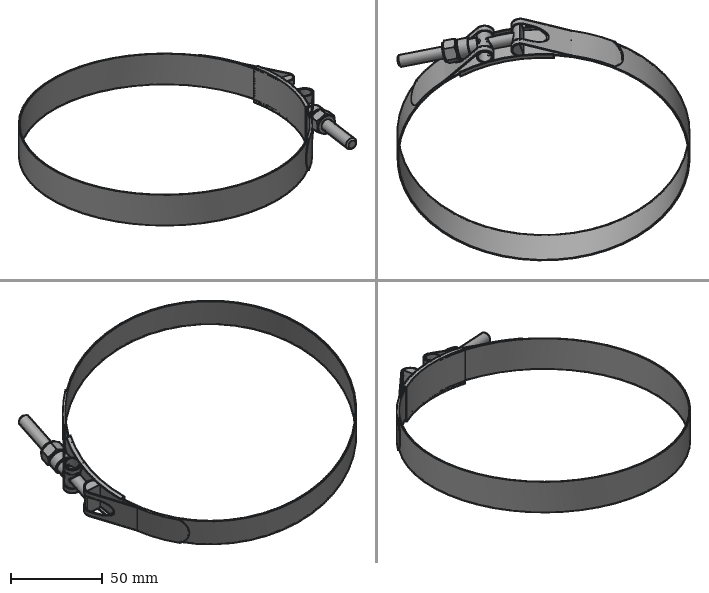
import cadquery as cq
import math

overall_y = 168.7

band_radius = 79.6
strap_thickness = 0.7
strap_width = 19.0
band_inner_radius = band_radius - strap_thickness
tail_radius = band_radius + strap_thickness
tail_tip_y = 53.5
tail_shoulder_y = 57.4
run_slope = 34.5
window_width = 11.8
head_window_bottom = 79.3
nut_window_bottom = 76.3

pin_radius = 4.4
pin_x = 10.1
pin_distance = band_radius + pin_radius
pin_y = math.sqrt(pin_distance**2 - pin_x**2)
loop_radius = pin_radius + strap_thickness
barrel_wall = 0.7

bridge_half_length = 26.5
bridge_width = 22.0
bridge_wall = 0.7
bridge_inner_radius = band_inner_radius - bridge_wall
flange_radius = 80.8

head_flat_x = -10.8
bolt_radius = 3.4
bolt_end_x = 58.9
bolt_chamfer = 1.0

neck_radius = 4.5
neck_start_x = 13.5
collar_radius = 5.5
collar_start_x = 18.2
collar_chamfer = 0.3
nut_start_x = 24.5
nut_end_x = 32.9
nut_flats = 2 * (overall_y - band_radius - pin_y)
nut_face_radius = 5.4
nut_face_length = 0.7
nut_corner_radius = nut_flats / math.sqrt(3)
nut_chamfer_height = 0.7

reach = 2 * band_radius


def on_circle(radius, angle, center=(0.0, 0.0)):
    """Point at an angle in degrees, counter-clockwise from +X."""
    turn = math.radians(angle)
    return (center[0] + radius * math.cos(turn), center[1] + radius * math.sin(turn))


def z_prism(outline, height):
    """Solid from an XY outline, centred on Z = 0."""
    return outline.extrude(height / 2, both=True)


def z_ring(outer, inner, height):
    return z_prism(cq.Workplane("XY").circle(outer).circle(inner), height)


def x_cylinder(radius, start_x, end_x):
    """Round bar on the bolt line."""
    plane = cq.Workplane("YZ", origin=(start_x, pin_y, 0))
    return plane.circle(radius).extrude(end_x - start_x)


def make_tail(window_bottom):
    """Looped strap end on the -X side: rounded tip, straight run, and turn round the pin."""
    pin = (-pin_x, pin_y)
    pin_angle = math.degrees(math.atan2(pin_y, -pin_x))
    contact_angle = pin_angle - 180
    run_angle = 90 + run_slope
    pin_offset = pin_distance * math.cos(math.radians(run_angle - pin_angle))
    outer_offset = pin_offset + loop_radius
    inner_offset = pin_offset + pin_radius
    outer_bend_angle = run_angle - math.degrees(math.acos(outer_offset / tail_radius))
    inner_bend_angle = run_angle - math.degrees(math.acos(inner_offset / band_radius))
    tip_angle = 180 - math.degrees(math.asin(tail_tip_y / tail_radius))
    lap_angle = (outer_bend_angle + tip_angle) / 2
    turn_angle = (run_angle + contact_angle) / 2

    outline = (
        cq.Workplane("XY")
        .moveTo(*on_circle(tail_radius, tip_angle))
        .threePointArc(on_circle(tail_radius, lap_angle), on_circle(tail_radius, outer_bend_angle))
        .lineTo(*on_circle(loop_radius, run_angle, pin))
        .threePointArc(
            on_circle(loop_radius, turn_angle, pin), on_circle(loop_radius, contact_angle, pin)
        )
        .lineTo(*on_circle(pin_radius, contact_angle, pin))
        .threePointArc(
            on_circle(pin_radius, turn_angle, pin), on_circle(pin_radius, run_angle, pin)
        )
        .lineTo(*on_circle(band_radius, inner_bend_angle))
        .threePointArc(on_circle(band_radius, lap_angle), on_circle(band_radius, tip_angle))
        .close()
    )

    half_width = strap_width / 2
    rounded_tip = (
        cq.Workplane("YZ")
        .moveTo(reach, -half_width)
        .lineTo(tail_shoulder_y, -half_width)
        .threePointArc((tail_tip_y, 0), (tail_shoulder_y, half_width))
        .lineTo(reach, half_width)
        .close()
        .extrude(-reach)
    )

    half_window = window_width / 2
    window_center_y = window_bottom + half_window
    window = (
        cq.Workplane("YZ")
        .moveTo(reach, -half_window)
        .lineTo(window_center_y, -half_window)
        .threePointArc((window_bottom, 0), (window_center_y, half_window))
        .lineTo(reach, half_window)
        .close()
        .extrude(-reach)
    )
    return z_prism(outline, strap_width).intersect(rounded_tip).cut(window)


def make_strap():
    gap_half_width = reach * pin_x / pin_y
    gap_corners = [(0, 0), (gap_half_width, reach), (-gap_half_width, reach)]
    gap = z_prism(cq.Workplane("XY").polyline(gap_corners).close(), strap_width)
    ring = z_ring(band_radius, band_inner_radius, strap_width).cut(gap)
    head_tail = make_tail(head_window_bottom)
    nut_tail = make_tail(nut_window_bottom).mirror("YZ")
    return ring.union(head_tail).union(nut_tail)


def make_bridge():
    web = z_ring(band_inner_radius, bridge_inner_radius, bridge_width)
    rims = z_ring(flange_radius, bridge_inner_radius, bridge_width)
    channel = z_prism(cq.Workplane("XY").circle(flange_radius), bridge_width - 2 * bridge_wall)
    span = cq.Workplane("XY").center(0, reach / 2).rect(2 * bridge_half_length, reach)
    return rims.cut(channel).union(web).intersect(z_prism(span, bridge_width))


def make_bolt():
    """T-bolt: cross pin with one side cut flat as the head, and a plain shank."""
    pin_width = 2 * pin_radius
    pin = z_prism(cq.Workplane("XY").center(-pin_x, pin_y).circle(pin_radius), strap_width)
    beyond_flat = cq.Workplane("XY").center(head_flat_x - pin_radius, pin_y).rect(pin_width, pin_width)
    head = pin.cut(z_prism(beyond_flat, strap_width))
    shank = x_cylinder(bolt_radius, head_flat_x, bolt_end_x).faces(">X").chamfer(bolt_chamfer)
    return head.union(shank)


def make_barrel():
    """Tubular pin with a cross hole for the bolt."""
    tube = z_ring(pin_radius, pin_radius - barrel_wall, strap_width).translate((pin_x, pin_y, 0))
    return tube.cut(x_cylinder(bolt_radius, 0, bolt_end_x))


def make_spacer():
    """Collared sleeve, hollowed at one end to seat on the barrel."""
    neck = x_cylinder(neck_radius, neck_start_x, collar_start_x)
    collar = x_cylinder(collar_radius, collar_start_x, nut_start_x).edges().chamfer(collar_chamfer)
    seat = z_prism(cq.Workplane("XY").center(pin_x, pin_y).circle(pin_radius), strap_width)
    return neck.union(collar).cut(seat).cut(x_cylinder(bolt_radius, 0, bolt_end_x))


def make_nut():
    """Hexagon nut with corners toward +Z and -Z, and a round face at each end."""
    hex_start_x = nut_start_x + nut_face_length
    hex_length = nut_end_x - nut_start_x - 2 * nut_face_length
    hexagon = (
        cq.Workplane("YZ", origin=(hex_start_x, pin_y, 0))
        .transformed(rotate=(0, 0, 90))
        .polygon(6, 2 * nut_corner_radius)
        .extrude(hex_length)
    )
    corner_chamfer = x_cylinder(nut_corner_radius, hex_start_x, hex_start_x + hex_length)
    corner_chamfer = corner_chamfer.edges().chamfer(nut_chamfer_height, nut_corner_radius - nut_face_radius)
    faces = x_cylinder(nut_face_radius, nut_start_x, nut_end_x)
    return hexagon.intersect(corner_chamfer).union(faces).cut(x_cylinder(bolt_radius, 0, bolt_end_x))


strap = make_strap()
bridge = make_bridge()
bolt = make_bolt()
barrel = make_barrel()
spacer = make_spacer()
nut = make_nut()

result = cq.Compound.makeCompound(
    [strap.val(), bridge.val(), bolt.val(), barrel.val(), spacer.val(), nut.val()]
)